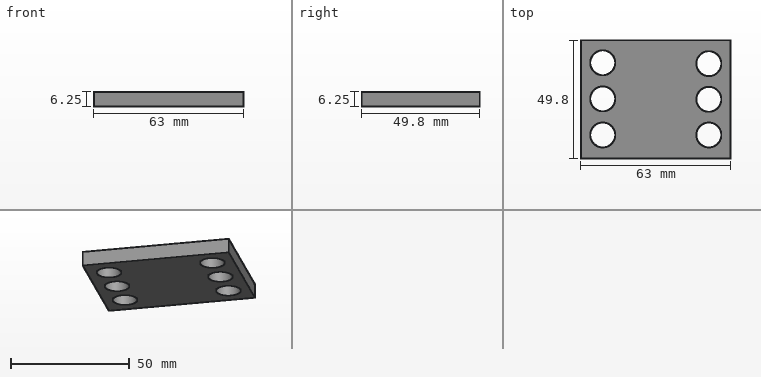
import cadquery as cq

length = 63.0
width = 49.75
thickness = 6.25

hole_diameter = 10.4
column_offset = 22.3
front_row_y = -15.0
holes_per_column = 3
left_pitch = 15.2
right_pitch = 15.0


def column_points(x, pitch):
    """Hole centres of one column, from the front row towards +Y."""
    return [(x, front_row_y + row * pitch) for row in range(holes_per_column)]


hole_centres = column_points(-column_offset, left_pitch) + column_points(column_offset, right_pitch)

plate = cq.Workplane("XY").box(length, width, thickness)
result = plate.faces(">Z").workplane().pushPoints(hole_centres).hole(hole_diameter)